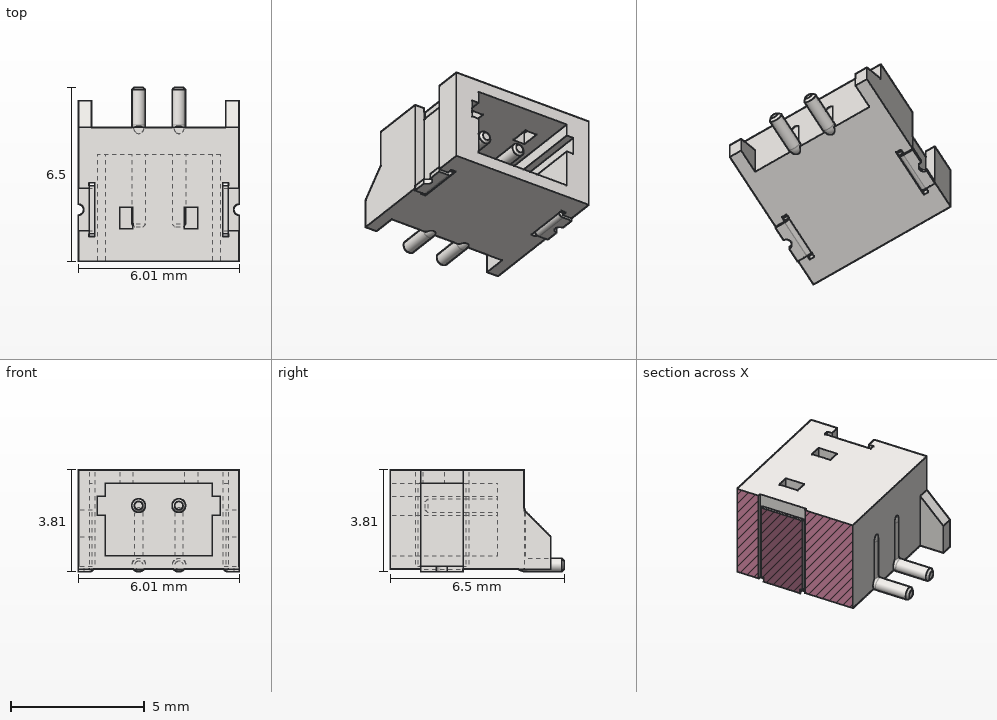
import cadquery as cq


HOUSING_WIDTH = 6.0
HOUSING_HEIGHT = 3.7
HOUSING_DEPTH = 5.0

CHEEK_THICKNESS = 0.5
CHEEK_LENGTH = 1.0
CHEEK_REAR_HEIGHT = 1.2
CHEEK_FRONT_HEIGHT = CHEEK_REAR_HEIGHT + CHEEK_LENGTH

CAVITY_WIDTH = 4.0
CAVITY_WALL = 0.5
CAVITY_HEIGHT = HOUSING_HEIGHT - 2 * CAVITY_WALL
REAR_WALL = 1.0
CAVITY_DEPTH = HOUSING_DEPTH - REAR_WALL
KEYWAY_SPAN = 4.59
KEYWAY_BOTTOM = 2.01
KEYWAY_HEIGHT = 0.7

WINDOW_INNER_X = 0.96
WINDOW_WIDTH = 0.5
WINDOW_FRONT_Y = 1.215
WINDOW_LENGTH = 0.8

SOLDER_DROP = 0.105

TAB_CENTER_Y = 1.93
TAB_THICKNESS = 0.2
TAB_PLATE_LENGTH = 1.8
TAB_FOOT_LENGTH = 1.585
TAB_TOP = 3.2
RECESS_DEPTH = 0.4
TAB_OUTER_X = HOUSING_WIDTH / 2 - RECESS_DEPTH
TAB_INNER_X = TAB_OUTER_X - TAB_THICKNESS
FOOT_OVERHANG = 0.005
FOOT_TIP_X = HOUSING_WIDTH / 2 + FOOT_OVERHANG
FOOT_NOTCH_RADIUS = 0.2

SLOT_LENGTH = 1.995

PIN_PITCH = 1.5
PIN_RADIUS = 0.255
PIN_CHAMFER = 0.1
PIN_BEND_RADIUS = 0.3
PIN_TAIL_Y = HOUSING_DEPTH + 1.5
PIN_TAIL_Z = PIN_RADIUS - SOLDER_DROP
PIN_RISER_Y = HOUSING_DEPTH - 0.2
PIN_CONTACT_Y = 1.3
PIN_CONTACT_Z = 2.365

SIDES = (-1, 1)


def box(x_min, x_max, y_min, y_max, z_min, z_max):
    """A box between the given limits."""
    size = (x_max - x_min, y_max - y_min, z_max - z_min)
    return cq.Workplane("XY").box(*size, centered=False).translate((x_min, y_min, z_min))


def mirrored_pair(shape):
    """A shape together with its mirror image across the middle plane X = 0."""
    return shape.union(shape.mirror("YZ"))


def make_block():
    """Main block with the two sloped cheeks behind it."""
    half_width = HOUSING_WIDTH / 2
    block = box(-half_width, half_width, 0, HOUSING_DEPTH, 0, HOUSING_HEIGHT)
    cheek = (
        cq.Workplane("YZ", origin=(half_width - CHEEK_THICKNESS, 0, 0))
        .moveTo(HOUSING_DEPTH, 0)
        .lineTo(HOUSING_DEPTH + CHEEK_LENGTH, 0)
        .lineTo(HOUSING_DEPTH + CHEEK_LENGTH, CHEEK_REAR_HEIGHT)
        .lineTo(HOUSING_DEPTH, CHEEK_FRONT_HEIGHT)
        .close()
        .extrude(CHEEK_THICKNESS)
    )
    return block.union(mirrored_pair(cheek))


def make_cavity():
    """Space for the mating plug, with a keyway on each side."""
    half_width = CAVITY_WIDTH / 2
    half_span = KEYWAY_SPAN / 2
    main = box(-half_width, half_width, 0, CAVITY_DEPTH, CAVITY_WALL, CAVITY_WALL + CAVITY_HEIGHT)
    keyways = box(-half_span, half_span, 0, CAVITY_DEPTH, KEYWAY_BOTTOM, KEYWAY_BOTTOM + KEYWAY_HEIGHT)
    return main.union(keyways)


def make_windows():
    """Latch windows from the cavity up through the roof."""
    window = box(
        WINDOW_INNER_X,
        WINDOW_INNER_X + WINDOW_WIDTH,
        WINDOW_FRONT_Y,
        WINDOW_FRONT_Y + WINDOW_LENGTH,
        CAVITY_WALL + CAVITY_HEIGHT,
        HOUSING_HEIGHT,
    )
    return mirrored_pair(window)


def make_tab_slots():
    """Full-height slots for the tab plates, each opened to the side by a narrower recess."""
    slot = box(
        TAB_INNER_X,
        TAB_OUTER_X,
        TAB_CENTER_Y - SLOT_LENGTH / 2,
        TAB_CENTER_Y + SLOT_LENGTH / 2,
        0,
        HOUSING_HEIGHT,
    )
    recess = box(
        TAB_OUTER_X,
        HOUSING_WIDTH / 2,
        TAB_CENTER_Y - TAB_FOOT_LENGTH / 2,
        TAB_CENTER_Y + TAB_FOOT_LENGTH / 2,
        0,
        HOUSING_HEIGHT,
    )
    return mirrored_pair(slot.union(recess))


def make_pin(x):
    """Round wire from the solder tail, up the rear wall and forward to the contact tip."""
    bend = PIN_BEND_RADIUS
    arc_inset = bend * (1 - 0.5**0.5)
    path = (
        cq.Workplane("YZ", origin=(x, 0, 0))
        .moveTo(PIN_TAIL_Y, PIN_TAIL_Z)
        .lineTo(PIN_RISER_Y + bend, PIN_TAIL_Z)
        .threePointArc(
            (PIN_RISER_Y + arc_inset, PIN_TAIL_Z + arc_inset),
            (PIN_RISER_Y, PIN_TAIL_Z + bend),
        )
        .lineTo(PIN_RISER_Y, PIN_CONTACT_Z - bend)
        .threePointArc(
            (PIN_RISER_Y - arc_inset, PIN_CONTACT_Z - arc_inset),
            (PIN_RISER_Y - bend, PIN_CONTACT_Z),
        )
        .lineTo(PIN_CONTACT_Y, PIN_CONTACT_Z)
    )
    wire = (
        cq.Workplane("XZ", origin=(x, PIN_TAIL_Y, PIN_TAIL_Z))
        .circle(PIN_RADIUS)
        .sweep(path)
    )
    return wire.faces("<Y or >Y").chamfer(PIN_CHAMFER)


def make_housing():
    """Housing with its two moulded-in contact pins."""
    housing = make_block().cut(make_cavity()).cut(make_windows()).cut(make_tab_slots())
    for side in SIDES:
        housing = housing.union(make_pin(side * PIN_PITCH / 2))
    return housing


def make_tab(side):
    """Bent solder tab on the side given by the sign of X."""
    plate = box(
        TAB_INNER_X,
        TAB_OUTER_X,
        TAB_CENTER_Y - TAB_PLATE_LENGTH / 2,
        TAB_CENTER_Y + TAB_PLATE_LENGTH / 2,
        TAB_THICKNESS - SOLDER_DROP,
        TAB_TOP,
    )
    foot = (
        cq.Workplane("XZ", origin=(0, TAB_CENTER_Y + TAB_FOOT_LENGTH / 2, 0))
        .moveTo(FOOT_TIP_X, -SOLDER_DROP)
        .lineTo(TAB_OUTER_X, -SOLDER_DROP)
        .radiusArc((TAB_INNER_X, TAB_THICKNESS - SOLDER_DROP), TAB_THICKNESS)
        .lineTo(FOOT_TIP_X, TAB_THICKNESS - SOLDER_DROP)
        .close()
        .extrude(TAB_FOOT_LENGTH)
    )
    notch = (
        cq.Workplane("XY", origin=(FOOT_TIP_X, TAB_CENTER_Y, -SOLDER_DROP))
        .circle(FOOT_NOTCH_RADIUS)
        .extrude(TAB_THICKNESS)
    )
    tab = plate.union(foot).cut(notch)
    return tab if side > 0 else tab.mirror("YZ")


housing = make_housing()
tabs = [make_tab(side) for side in SIDES]

result = cq.Compound.makeCompound([housing.val(), *(tab.val() for tab in tabs)])